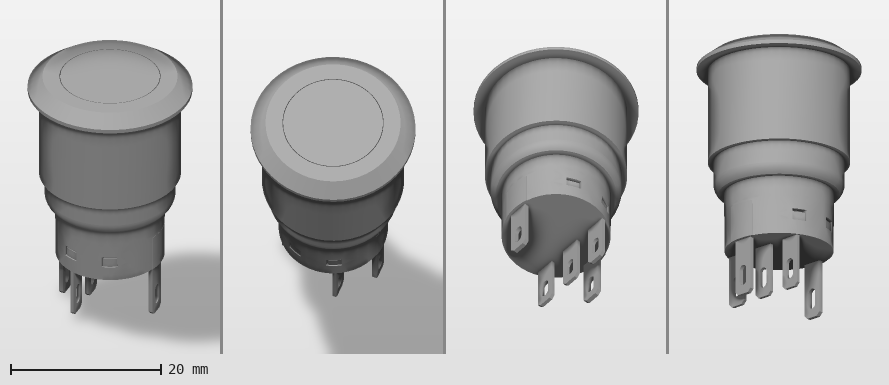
import cadquery as cq

TOTAL_HEIGHT = 35.3
FLANGE_BEVEL_HEIGHT = 1.5
FLANGE_BOTTOM = TOTAL_HEIGHT - 2.0
BARREL_BOTTOM = TOTAL_HEIGHT - 15.0
COLLAR_BOTTOM = TOTAL_HEIGHT - 19.5
BASE_BOTTOM = TOTAL_HEIGHT - 27.57

FLANGE_DIAMETER = 22.0
FACE_DIAMETER = 18.0
BARREL_DIAMETER = 19.0
COLLAR_DIAMETER = 17.5
COLLAR_RIM_DIAMETER = 16.15
COLLAR_ROUNDING_HEIGHT = 1.45
BASE_TOP_DIAMETER = 14.7
BASE_BOTTOM_DIAMETER = 14.55

BUTTON_DIAMETER = 13.3
BUTTON_BORE_DIAMETER = 13.5
BUTTON_GAP_DEPTH = 0.5

PAD_WIDTH = 4.0
PAD_HEIGHT = 5.0

WINDOW_WIDTH = 1.9
WINDOW_HEIGHT = 1.55
WINDOW_OFFSET_X = 2.8
WINDOW_BOTTOM = BASE_BOTTOM + 2.0
WINDOW_FLOOR_RADIUS = BASE_TOP_DIAMETER / 2 - 0.8
LATCH_SIDE_GAP = 0.1
LATCH_TOP_GAP = 0.35
LATCH_FACE_RADIUS = BASE_TOP_DIAMETER / 2 - 0.2

TERMINAL_WIDTH = 2.8
TERMINAL_CHAMFER = 0.5
TERMINAL_EMBED = 0.35
SLOT_WIDTH = 1.25
SLOT_LENGTH = 2.82
LONG_THICKNESS = 0.6
LONG_TIP = 0.0
LONG_SLOT_GAP = 1.25
LONG_OFFSET_X = 6.5
SHORT_THICKNESS = 0.5
SHORT_TIP = 0.55
SHORT_SLOT_GAP = 1.3
SHORT_X = -2.75
SHORT_PITCH_Y = 5.0


def disc(diameter, bottom, height):
    """Cylinder on the Z axis standing on the given height."""
    return cq.Workplane("XY").workplane(offset=bottom).circle(diameter / 2).extrude(height)


def stepped_body():
    """Flange, barrel, rounded collar and tapered base, turned about Z."""
    collar_radius = COLLAR_DIAMETER / 2
    base_radius = BASE_TOP_DIAMETER / 2
    collar_rim_radius = COLLAR_RIM_DIAMETER / 2
    rounding_inset = collar_radius - collar_rim_radius
    rounding_radius = (rounding_inset**2 + COLLAR_ROUNDING_HEIGHT**2) / (2 * rounding_inset)
    bevel_bottom = TOTAL_HEIGHT - FLANGE_BEVEL_HEIGHT
    return (
        cq.Workplane("XZ")
        .moveTo(0, TOTAL_HEIGHT)
        .lineTo(FACE_DIAMETER / 2, TOTAL_HEIGHT)
        .lineTo(FLANGE_DIAMETER / 2, bevel_bottom)
        .lineTo(FLANGE_DIAMETER / 2, FLANGE_BOTTOM)
        .lineTo(BARREL_DIAMETER / 2, FLANGE_BOTTOM)
        .lineTo(BARREL_DIAMETER / 2, BARREL_BOTTOM)
        .lineTo(collar_radius, BARREL_BOTTOM)
        .lineTo(collar_radius, COLLAR_BOTTOM + COLLAR_ROUNDING_HEIGHT)
        .radiusArc((collar_rim_radius, COLLAR_BOTTOM), rounding_radius)
        .lineTo(base_radius, COLLAR_BOTTOM)
        .lineTo(BASE_BOTTOM_DIAMETER / 2, BASE_BOTTOM)
        .lineTo(0, BASE_BOTTOM)
        .close()
        .revolve(360, (0, 0, 0), (0, 1, 0))
    )


def button_gap():
    """Narrow ring groove that separates the button from its surround."""
    bottom = TOTAL_HEIGHT - BUTTON_GAP_DEPTH
    bore = disc(BUTTON_BORE_DIAMETER, bottom, BUTTON_GAP_DEPTH)
    return bore.cut(disc(BUTTON_DIAMETER, bottom, BUTTON_GAP_DEPTH))


def side_pads():
    """Untapered strips of the base, one on each X side."""
    strip = cq.Workplane("XY").box(
        BASE_TOP_DIAMETER, PAD_WIDTH, PAD_HEIGHT, centered=(True, True, False)
    ).translate((0, 0, BASE_BOTTOM))
    return strip.intersect(disc(BASE_TOP_DIAMETER, BASE_BOTTOM, PAD_HEIGHT))


def window_prisms(width, height):
    """Rectangular prisms through the base along Y, one at each window column."""
    prism = cq.Workplane("XY").box(width, BASE_TOP_DIAMETER, height, centered=(True, True, False))
    left = prism.translate((-WINDOW_OFFSET_X, 0, WINDOW_BOTTOM))
    right = prism.translate((WINDOW_OFFSET_X, 0, WINDOW_BOTTOM))
    return left.union(right)


def latch_windows():
    """Recesses around the four latches: open above, narrow at the sides, shallow in front."""
    opening = window_prisms(WINDOW_WIDTH, WINDOW_HEIGHT)
    core = disc(2 * WINDOW_FLOOR_RADIUS, WINDOW_BOTTOM, WINDOW_HEIGHT)
    latches = window_prisms(WINDOW_WIDTH - 2 * LATCH_SIDE_GAP, WINDOW_HEIGHT - LATCH_TOP_GAP)
    latches = latches.intersect(disc(2 * LATCH_FACE_RADIUS, WINDOW_BOTTOM, WINDOW_HEIGHT))
    return opening.cut(core).cut(latches)


def terminal(x, y, thickness, tip, slot_gap):
    """Flat blade with chamfered tip corners and an upright slot above the tip."""
    height = BASE_BOTTOM + TERMINAL_EMBED - tip
    blade = (
        cq.Workplane("XY")
        .box(thickness, TERMINAL_WIDTH, height, centered=(True, True, False))
        .faces("<Z")
        .edges("|X")
        .chamfer(TERMINAL_CHAMFER)
    )
    slot = (
        cq.Workplane("YZ")
        .center(0, slot_gap + SLOT_LENGTH / 2)
        .slot2D(SLOT_LENGTH, SLOT_WIDTH, 90)
        .extrude(thickness, both=True)
    )
    return blade.cut(slot).translate((x, y, tip))


result = stepped_body().cut(button_gap()).union(side_pads()).cut(latch_windows())

for x in (-LONG_OFFSET_X, LONG_OFFSET_X):
    result = result.union(terminal(x, 0, LONG_THICKNESS, LONG_TIP, LONG_SLOT_GAP))

for y in (-SHORT_PITCH_Y, 0, SHORT_PITCH_Y):
    result = result.union(terminal(SHORT_X, y, SHORT_THICKNESS, SHORT_TIP, SHORT_SLOT_GAP))